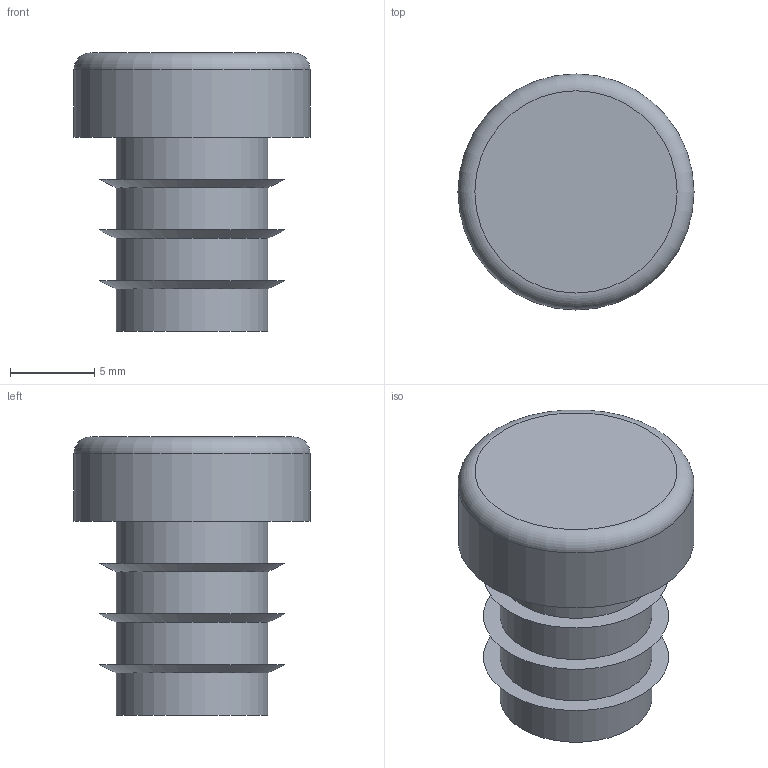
import cadquery as cq

head_diameter = 14.0
head_height = 5.0
head_edge_radius = 1.0

stem_diameter = 9.0
stem_length = 11.5

fin_diameter = 11.0
fin_height = 0.5
fin_count = 3
fin_pitch = 3.0
first_fin_drop = 2.5


def make_head():
    """Cap disc standing on the stem, with a rounded top edge."""
    head = cq.Workplane("XY").workplane(offset=stem_length).circle(head_diameter / 2).extrude(head_height)
    return head.faces(">Z").edges().fillet(head_edge_radius)


def make_stem():
    """Plain cylinder standing on the XY plane."""
    return cq.Workplane("XY").circle(stem_diameter / 2).extrude(stem_length)


def make_fin(top_z):
    """Solid cone that widens from the stem surface to the fin rim at top_z."""
    return (
        cq.Workplane("XY")
        .workplane(offset=top_z - fin_height)
        .circle(stem_diameter / 2)
        .workplane(offset=fin_height)
        .circle(fin_diameter / 2)
        .loft(ruled=True)
    )


result = make_stem().union(make_head())
for index in range(fin_count):
    fin_top_z = stem_length - first_fin_drop - index * fin_pitch
    result = result.union(make_fin(fin_top_z))